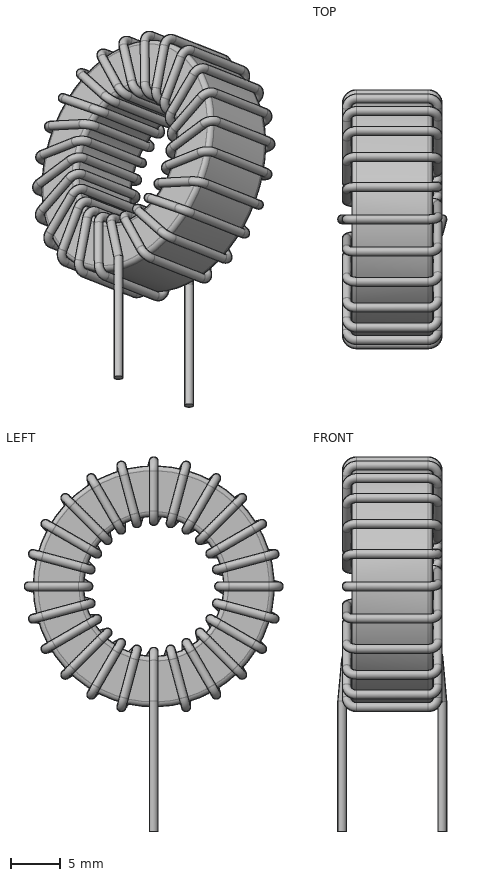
import cadquery as cq
import math

CORE_DIAMETER = 24.1
CORE_HOLE_DIAMETER = 14.0
CORE_WIDTH = 8.1
CORE_EDGE_RADIUS = 0.5
WIRE_DIAMETER = 0.9
TURN_COUNT = 24
BEND_RADIUS = 0.97
SIDE_GAP = 0.05
LEAD_SPACING = 10.0
LEAD_TOP_Z = -11.47
OVERALL_HEIGHT = 37.5

WIRE_RADIUS = WIRE_DIAMETER / 2
OUTER_PATH_RADIUS = CORE_DIAMETER / 2 + WIRE_RADIUS
INNER_PATH_RADIUS = CORE_HOLE_DIAMETER / 2 - WIRE_RADIUS
SIDE_PATH_X = CORE_WIDTH / 2 + SIDE_GAP + WIRE_RADIUS
LEAD_BOTTOM_Z = CORE_DIAMETER / 2 + WIRE_DIAMETER - OVERALL_HEIGHT


def make_core():
    """Ring core around the X axis with rounded rims."""
    return (
        cq.Workplane("YZ", origin=(-CORE_WIDTH / 2, 0, 0))
        .circle(CORE_DIAMETER / 2)
        .circle(CORE_HOLE_DIAMETER / 2)
        .extrude(CORE_WIDTH)
        .edges("%CIRCLE")
        .fillet(CORE_EDGE_RADIUS)
    )


def turn_point(x, radius, turn):
    """Point at a numbered turn; turn 0 is at the bottom and the count runs toward +Y."""
    angle = 2 * math.pi * turn / TURN_COUNT
    return cq.Vector(x, radius * math.sin(angle), -radius * math.cos(angle))


def path_corners():
    """Sharp corners of the wire center line: lead, all turns, lead."""
    half_spacing = LEAD_SPACING / 2
    corners = [cq.Vector(-half_spacing, 0, LEAD_TOP_Z)]
    for turn in range(TURN_COUNT):
        if turn > 0:
            corners.append(turn_point(SIDE_PATH_X, OUTER_PATH_RADIUS, turn))
            corners.append(turn_point(-SIDE_PATH_X, OUTER_PATH_RADIUS, turn))
        corners.append(turn_point(-SIDE_PATH_X, INNER_PATH_RADIUS, turn))
        corners.append(turn_point(SIDE_PATH_X, INNER_PATH_RADIUS, turn))
    corners.append(cq.Vector(half_spacing, 0, LEAD_TOP_Z))
    return corners


def bend_at(before, corner, after):
    """Arc of the bend radius that rounds the corner between two straight runs."""
    to_before = (before - corner).normalized()
    to_after = (after - corner).normalized()
    half_angle = to_before.getAngle(to_after) / 2
    setback = BEND_RADIUS / math.tan(half_angle)
    apex_distance = BEND_RADIUS / math.sin(half_angle) - BEND_RADIUS
    bend_start = corner + to_before * setback
    bend_middle = corner + (to_before + to_after).normalized() * apex_distance
    bend_end = corner + to_after * setback
    return cq.Edge.makeThreePointArc(bend_start, bend_middle, bend_end)


def wire_path():
    """Center line of the whole wire: round bends at every turn, sharp kinks at the lead tops."""
    corners = path_corners()
    lead_drop = cq.Vector(0, 0, LEAD_BOTTOM_Z - LEAD_TOP_Z)
    edges = [cq.Edge.makeLine(corners[0] + lead_drop, corners[0])]
    run_start = corners[0]
    for before, corner, after in zip(corners, corners[1:], corners[2:]):
        bend = bend_at(before, corner, after)
        edges.append(cq.Edge.makeLine(run_start, bend.startPoint()))
        edges.append(bend)
        run_start = bend.endPoint()
    edges.append(cq.Edge.makeLine(run_start, corners[-1]))
    edges.append(cq.Edge.makeLine(corners[-1], corners[-1] + lead_drop))
    return cq.Wire.assembleEdges(edges)


def make_winding():
    """Round wire swept along its path, starting from the foot of the first lead."""
    path = wire_path()
    return (
        cq.Workplane("XY", origin=path.startPoint().toTuple())
        .circle(WIRE_RADIUS)
        .sweep(cq.Workplane(path), transition="right")
    )


core = make_core()
winding = make_winding()
result = cq.Compound.makeCompound([core.val(), winding.val()])